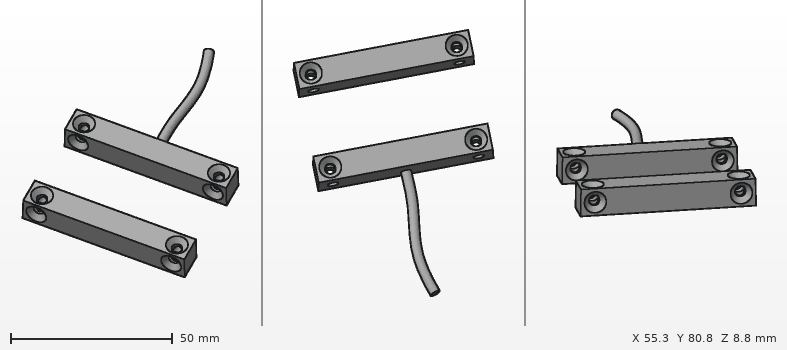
import cadquery as cq
import math

TOTAL_LENGTH = 80.8
BLOCK_WIDTH = 55.3
BLOCK_DEPTH = 8.8
BLOCK_HEIGHT = 8.8
BLOCK_PITCH = 30.95
DRAFT = 0.2

HOLE_SPACING = 46.0
HOLE_DIAMETER = 3.3
SINK_DIAMETER = 6.9
SINK_DEPTH = 1.8
HOLE_AXIS_HEIGHT = BLOCK_HEIGHT / 2
SINK_OVERRUN = DRAFT

CABLE_DIAMETER = 3.3
CABLE_START_HEIGHT = 3.0
CABLE_BEND_START = 10.5
CABLE_BEND_START_HEIGHT = 3.4
CABLE_CREST = 26.3
CABLE_CREST_OFFSET = 1.6
CABLE_CREST_HEIGHT = 4.0
CABLE_END_OFFSET = -1.2
CABLE_END_HEIGHT = 4.3
CABLE_END_ANGLE = 18.0


def drafted_block(front_inset, back_inset):
    """Bar with its front bottom edge at Y = 0; both ends lean inward by the draft."""
    half_width = BLOCK_WIDTH / 2
    top_half_width = half_width - DRAFT
    bottom = cq.Workplane("XY").polyline([
        (-half_width, 0),
        (half_width, 0),
        (half_width, BLOCK_DEPTH),
        (-half_width, BLOCK_DEPTH),
    ]).close()
    return bottom.workplane(offset=BLOCK_HEIGHT).polyline([
        (-top_half_width, front_inset),
        (top_half_width, front_inset),
        (top_half_width, BLOCK_DEPTH - back_inset),
        (-top_half_width, BLOCK_DEPTH - back_inset),
    ]).close().loft(ruled=True)


def screw_cutter(face_point, inward, through_length):
    """Through hole with a conical countersink, entering at face_point."""
    hole_radius = HOLE_DIAMETER / 2
    sink_radius = SINK_DIAMETER / 2
    overrun_radius = sink_radius + SINK_OVERRUN * (sink_radius - hole_radius) / SINK_DEPTH
    start = face_point - inward * SINK_OVERRUN
    cone = cq.Solid.makeCone(overrun_radius, hole_radius, SINK_DEPTH + SINK_OVERRUN, start, inward)
    bore = cq.Solid.makeCylinder(hole_radius, through_length + 2 * SINK_OVERRUN, start, inward)
    return cone.fuse(bore)


def cut_screw_holes(block, front_face):
    """Cut a vertical and a horizontal screw hole near each end of the bar."""
    for x in (-HOLE_SPACING / 2, HOLE_SPACING / 2):
        top_point = cq.Vector(x, BLOCK_DEPTH / 2, BLOCK_HEIGHT)
        front_point = cq.Vector(x, front_face, HOLE_AXIS_HEIGHT)
        block = block.cut(screw_cutter(top_point, cq.Vector(0, 0, -1), BLOCK_HEIGHT))
        block = block.cut(screw_cutter(front_point, cq.Vector(0, 1, 0), BLOCK_DEPTH))
    return block


def cable():
    """Round cable that starts inside the block and snakes out behind it."""
    angle = math.radians(CABLE_END_ANGLE)
    root = BLOCK_DEPTH / 2
    end_y = TOTAL_LENGTH - BLOCK_PITCH - CABLE_DIAMETER / 2 * math.sin(angle)
    path = cq.Workplane("XY").spline(
        [
            (0, root, CABLE_START_HEIGHT),
            (0, BLOCK_DEPTH + CABLE_BEND_START, CABLE_BEND_START_HEIGHT),
            (CABLE_CREST_OFFSET, BLOCK_DEPTH + CABLE_CREST, CABLE_CREST_HEIGHT),
            (CABLE_END_OFFSET, end_y, CABLE_END_HEIGHT),
        ],
        tangents=[(0, 1, 0), (-math.sin(angle), math.cos(angle), 0)],
    )
    section = cq.Workplane("XZ", origin=(0, root, CABLE_START_HEIGHT)).circle(CABLE_DIAMETER / 2)
    return section.sweep(path)


def sensor():
    """Bar with a drafted back wall and the cable moulded into it."""
    block = drafted_block(front_inset=0, back_inset=DRAFT)
    block = cut_screw_holes(block, front_face=0)
    return block.union(cable()).translate((0, BLOCK_PITCH, 0))


def magnet():
    """Matching bar with a drafted front wall."""
    block = drafted_block(front_inset=DRAFT, back_inset=0)
    return cut_screw_holes(block, front_face=DRAFT / 2)


result = cq.Compound.makeCompound([sensor().val(), magnet().val()])